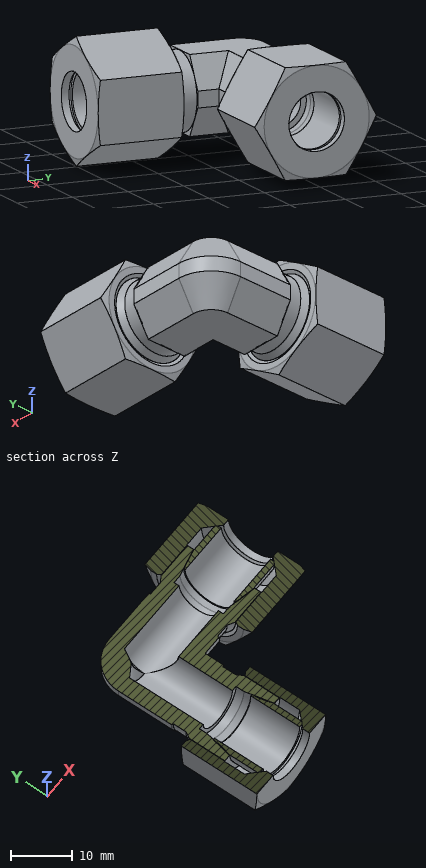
import cadquery as cq
import math


overall_length = 40.95

nut_flats = 19.0
nut_length = 15.5
nut_face_diameter = 18.93
nut_chamfer_angle = 15.0
nut_mouth_diameter = 16.45
nut_mouth_angle = 60.0
nut_land = 1.4
nut_seat_angle = 45.0

block_flats = 13.85
block_width = 14.35
block_end = 11.0
neck_diameter = 13.72
neck_end = 13.55
thread_diameter = 15.2
thread_runout_angle = 30.0
elbow_end = 22.0
flow_diameter = 8.0
drill_point_angle = 118.0

tube_diameter = 10.0
tube_stop = 15.0
socket_mouth_diameter = 12.3
socket_angle = 12.0
ring_nose = 18.0
ring_inset = 2.0

nut_corner_radius = nut_flats / math.sqrt(3)
port_length = overall_length - nut_corner_radius
nut_start = port_length - nut_length
tube_radius = tube_diameter / 2
thread_radius = thread_diameter / 2
socket_mouth_radius = socket_mouth_diameter / 2
seat_start = port_length - nut_land
ring_end = port_length - ring_inset


def tangent(angle):
    return math.tan(math.radians(angle))


def seat_radius(x):
    """Radius of the nut's inner cone at distance x along the port."""
    return tube_radius + (seat_start - x) * tangent(nut_seat_angle)


def seat_position(radius):
    """Distance along the port at which the nut's inner cone has the given radius."""
    return seat_start - (radius - tube_radius) / tangent(nut_seat_angle)


def turned(profile):
    """Solid of revolution about X from (x, radius) points."""
    outline = [(x, -radius) for x, radius in profile]
    return cq.Workplane("XY").polyline(outline).close().revolve(360, (0, 0, 0), (1, 0, 0))


def to_y_port(body):
    """Swing a body built along +X onto the -Y port."""
    return body.rotate((0, 0, 0), (0, 0, 1), -90)


def block_outline():
    """Half section of the block: (distance from the axis, height) points."""
    half_height = block_flats / 2
    half_width = block_width / 2
    corner = block_flats / math.sqrt(3)
    side_height = (corner - half_width) * math.sqrt(3)
    return [
        (0, -half_height),
        (corner / 2, -half_height),
        (half_width, -side_height),
        (half_width, side_height),
        (corner / 2, half_height),
        (0, half_height),
    ]


def make_block():
    half = block_outline()
    other_half = [(-across, height) for across, height in reversed(half[1:-1])]
    arm = cq.Workplane("YZ").polyline(half + other_half).close().extrude(block_end)
    outer_corner = (
        cq.Workplane("YZ").polyline(half).close().revolve(90, (0, 0, 0), (0, 1, 0))
    )
    return arm.union(to_y_port(arm)).union(outer_corner)


def make_spigot():
    """Neck, runout cone and thread of one port."""
    neck_radius = neck_diameter / 2
    runout_end = neck_end + (thread_radius - neck_radius) / tangent(thread_runout_angle)
    return turned([
        (block_end, 0),
        (block_end, neck_radius),
        (neck_end, neck_radius),
        (runout_end, thread_radius),
        (elbow_end, thread_radius),
        (elbow_end, 0),
    ])


def make_port_bore():
    """Drilled flow bore with its pointed bottom, tube socket and sealing cone."""
    flow_radius = flow_diameter / 2
    drill_point = flow_radius / tangent(drill_point_angle / 2)
    cone_length = (socket_mouth_radius - tube_radius) / tangent(socket_angle)
    return turned([
        (-drill_point, 0),
        (0, flow_radius),
        (tube_stop, flow_radius),
        (tube_stop, tube_radius),
        (elbow_end - cone_length, tube_radius),
        (elbow_end, socket_mouth_radius),
        (elbow_end, 0),
    ])


def make_elbow():
    spigot = make_spigot()
    bore = make_port_bore()
    solid = make_block().union(spigot).union(to_y_port(spigot))
    return solid.cut(bore).cut(to_y_port(bore))


def make_nut():
    """Nut on the +X port, with its hexagon corners toward +Y and -Y."""
    hexagon = (
        cq.Workplane("YZ", origin=(nut_start, 0, 0))
        .polygon(6, 2 * nut_corner_radius)
        .extrude(nut_length)
    )
    face_radius = nut_face_diameter / 2
    chamfer_depth = (nut_corner_radius - face_radius) * tangent(nut_chamfer_angle)
    chamfered_envelope = turned([
        (nut_start, 0),
        (nut_start, face_radius),
        (nut_start + chamfer_depth, nut_corner_radius),
        (port_length - chamfer_depth, nut_corner_radius),
        (port_length, face_radius),
        (port_length, 0),
    ])
    mouth_radius = nut_mouth_diameter / 2
    mouth_depth = (mouth_radius - thread_radius) / tangent(nut_mouth_angle)
    cavity = turned([
        (nut_start, 0),
        (nut_start, mouth_radius),
        (nut_start + mouth_depth, thread_radius),
        (seat_position(thread_radius), thread_radius),
        (seat_start, tube_radius),
        (port_length, tube_radius),
        (port_length, 0),
    ])
    return hexagon.intersect(chamfered_envelope).cut(cavity)


def make_cutting_ring():
    """Ring on the +X port, between the elbow's sealing cone and the nut's inner cone."""
    nose_radius = socket_mouth_radius - (elbow_end - ring_nose) * tangent(socket_angle)
    return turned([
        (ring_nose, tube_radius),
        (ring_nose, nose_radius),
        (elbow_end, socket_mouth_radius),
        (seat_position(socket_mouth_radius), socket_mouth_radius),
        (ring_end, seat_radius(ring_end)),
        (ring_end, tube_radius),
    ])


def at_both_ports(body):
    """Copies on the +X and -Y ports; the second is also rolled a quarter turn about its axis."""
    rolled = to_y_port(body).rotate((0, 0, 0), (0, 1, 0), -90)
    return [body.val(), rolled.val()]


elbow = make_elbow()
nuts = at_both_ports(make_nut())
cutting_rings = at_both_ports(make_cutting_ring())

result = cq.Compound.makeCompound([elbow.val(), *nuts, *cutting_rings])